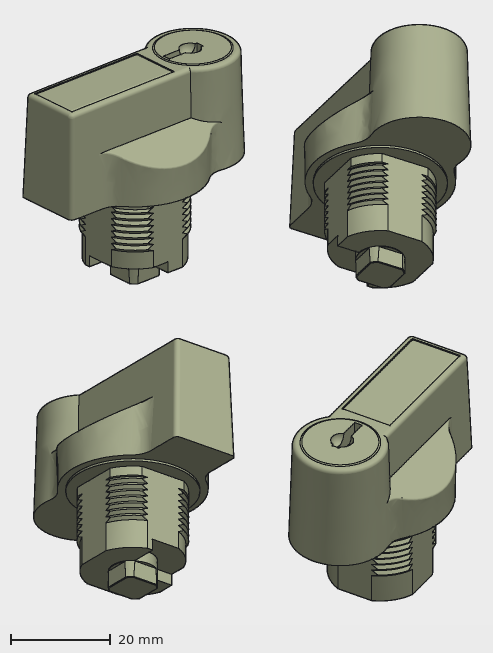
import cadquery as cq
import math

HANDLE_HEIGHT = 23.05
DRAFT_ANGLE = 1.8
EDGE_RADIUS = 1.0

TOWER_RADIUS = 10.4
TOWER_Y = 15.55

BAR_HALF_WIDTH = 7.6
BAR_FRONT_Y = -23.95
CORNER_ZONE_DEPTH = 1.5
SELECTION_MARGIN = 0.5

WING_RADIUS = 15.1
WING_FLARE_ANGLE = 1.0
WING_RIDGE_HEIGHT = 16.45
WING_SLOPE = 30.0
WING_BLEND_RADIUS = 5.0
WING_RIM_RADIUS = 0.5
WING_BLANK_HEIGHT = 13.45
WING_CORE_HEIGHT = 13.95
WING_CORE_FRONT_Y = -20.95
ROOF_OVERHANG = 2.5

LOCK_RADIUS = 8.1
LOCK_DEPTH = 5.0
LOCK_RISE = 0.15
LOCK_BEVEL_WIDTH = 0.35
KEY_SLOT_WIDTH = 1.75
KEY_SLOT_LENGTH = 9.0
KEY_SLOT_Y = 12.95
KEY_SLOT_DEPTH = 4.0
DIMPLE_RADIUS = 2.3
DIMPLE_DEPTH = 2.05
DIMPLE_Y = 14.85

LABEL_WIDTH = 11.2
LABEL_FRONT_Y = -22.0
LABEL_BACK_Y = 5.55
LABEL_THICKNESS = 1.0
LABEL_CORNER_RADIUS = 0.55
LABEL_TOP_RADIUS = LABEL_CORNER_RADIUS - 0.005

FLANGE_RADIUS = 13.45
FLANGE_THICKNESS = 0.5
COLLAR_BOTTOM = -2.55
THREAD_BOTTOM = -12.3
BUSHING_BOTTOM = -18.5
CREST_RADIUS = 11.25
ROOT_RADIUS = 10.65
THREAD_COUNT = 7
FLAT_DISTANCE = 9.9
NOTCH_HEIGHT = 2.45
NOTCH_LEFT_X = -2.65

HUB_RADIUS = 4.95
HUB_PROTRUSION = 0.15
HUB_BOTTOM = BUSHING_BOTTOM - HUB_PROTRUSION
HUB_TOP = -13.45
SPINDLE_BOTTOM = -22.3
SQUARE_WIDTH = 8.3
SQUARE_DRAFT = 2.0
SQUARE_BEVEL = 0.15


def tapered_tower(height):
    tower = cq.Workplane("XY").center(0, TOWER_Y).circle(TOWER_RADIUS)
    return tower.extrude(height, taper=DRAFT_ANGLE)


def tapered_bar(height, front_y):
    """Bar with leaning walls; its rear end stands inside the tower."""
    length = TOWER_Y - front_y
    bar = cq.Workplane("XY").center(0, front_y + length / 2).rect(2 * BAR_HALF_WIDTH, length)
    return bar.extrude(height, taper=DRAFT_ANGLE)


def make_grip():
    """Bar and tower as one shape with rounded front corners and top edges."""
    corner_reach = BAR_HALF_WIDTH + SELECTION_MARGIN
    front_corners = cq.selectors.BoxSelector(
        (-corner_reach, BAR_FRONT_Y - SELECTION_MARGIN, SELECTION_MARGIN),
        (corner_reach, BAR_FRONT_Y + CORNER_ZONE_DEPTH, HANDLE_HEIGHT - SELECTION_MARGIN),
    )
    bar = tapered_bar(HANDLE_HEIGHT, BAR_FRONT_Y).edges(front_corners).fillet(EDGE_RADIUS)
    grip = tapered_tower(HANDLE_HEIGHT).union(bar)
    return grip.faces(">Z").edges().fillet(EDGE_RADIUS)


def make_wing_roof():
    """House-shaped prism along Y whose two slopes form the wing tops."""
    half_width = WING_RADIUS + ROOF_OVERHANG
    eaves_height = WING_RIDGE_HEIGHT - half_width * math.tan(math.radians(WING_SLOPE))
    outline = [
        (-half_width, 0),
        (half_width, 0),
        (half_width, eaves_height),
        (0, WING_RIDGE_HEIGHT),
        (-half_width, eaves_height),
    ]
    return cq.Workplane("XZ").polyline(outline).close().extrude(2 * WING_RADIUS, both=True)


def make_wings():
    """Flared disc blended into the grip walls, then trimmed to two sloped tops."""
    core = tapered_tower(WING_CORE_HEIGHT).union(tapered_bar(WING_CORE_HEIGHT, WING_CORE_FRONT_Y))
    disc = cq.Workplane("XY").circle(WING_RADIUS)
    disc = disc.extrude(WING_BLANK_HEIGHT, taper=-WING_FLARE_ANGLE)
    mid_height = WING_BLANK_HEIGHT / 2
    blend_edges = cq.selectors.BoxSelector(
        (-WING_RADIUS, -WING_RADIUS, mid_height - SELECTION_MARGIN),
        (WING_RADIUS, WING_RADIUS, mid_height + SELECTION_MARGIN),
    )
    blank = core.union(disc).edges(blend_edges).fillet(WING_BLEND_RADIUS)
    rim_edges = cq.selectors.BoxSelector(
        (-WING_RADIUS, -WING_BLEND_RADIUS, mid_height),
        (WING_RADIUS, WING_BLEND_RADIUS, 1.5 * mid_height),
    )
    return blank.intersect(make_wing_roof()).edges(rim_edges).fillet(WING_RIM_RADIUS)


def make_plug_blank():
    plug = cq.Workplane("XY", origin=(0, TOWER_Y, HANDLE_HEIGHT - LOCK_DEPTH))
    return plug.circle(LOCK_RADIUS).extrude(LOCK_DEPTH + LOCK_RISE)


def make_label_blank():
    length = LABEL_BACK_Y - LABEL_FRONT_Y
    plate = cq.Workplane("XY", origin=(0, LABEL_FRONT_Y + length / 2, HANDLE_HEIGHT - LABEL_THICKNESS))
    return plate.rect(LABEL_WIDTH, length).extrude(LABEL_THICKNESS)


def make_handle():
    handle = make_grip().union(make_wings())
    return handle.cut(make_plug_blank()).cut(make_label_blank())


def make_lock_plug():
    """Bevelled plug with a key slot and a flat-bottomed round dimple."""
    plug = make_plug_blank().faces(">Z").edges().chamfer(LOCK_RISE, LOCK_BEVEL_WIDTH)
    top = HANDLE_HEIGHT + LOCK_RISE
    slot = (
        cq.Workplane("XY", origin=(0, KEY_SLOT_Y, top - KEY_SLOT_DEPTH))
        .rect(KEY_SLOT_WIDTH, KEY_SLOT_LENGTH)
        .extrude(KEY_SLOT_DEPTH)
    )
    ball = cq.Workplane("XY", origin=(0, DIMPLE_Y, top)).sphere(DIMPLE_RADIUS)
    bowl_limit = (
        cq.Workplane("XY", origin=(0, DIMPLE_Y, top - DIMPLE_DEPTH))
        .circle(DIMPLE_RADIUS)
        .extrude(DIMPLE_DEPTH)
    )
    return plug.cut(slot).cut(ball.intersect(bowl_limit))


def make_label():
    label = make_label_blank().edges("|Z").fillet(LABEL_CORNER_RADIUS)
    return label.faces(">Z").edges().fillet(LABEL_TOP_RADIUS)


def make_stem_profile():
    """Radial outline of collar, V-ridged thread and plain end."""
    pitch = (COLLAR_BOTTOM - THREAD_BOTTOM) / THREAD_COUNT
    points = [
        (0, 0),
        (CREST_RADIUS, 0),
        (CREST_RADIUS, COLLAR_BOTTOM),
        (ROOT_RADIUS, COLLAR_BOTTOM),
    ]
    for ridge in range(THREAD_COUNT):
        ridge_top = COLLAR_BOTTOM - ridge * pitch
        points.append((CREST_RADIUS, ridge_top - pitch / 2))
        points.append((ROOT_RADIUS, ridge_top - pitch))
    points += [(ROOT_RADIUS, BUSHING_BOTTOM), (0, BUSHING_BOTTOM)]
    return points


def make_hub():
    hub = cq.Workplane("XY", origin=(0, 0, HUB_BOTTOM))
    return hub.circle(HUB_RADIUS).extrude(HUB_TOP - HUB_BOTTOM)


def make_bushing():
    """Flanged, threaded stem with four flats, a corner notch and a bore for the hub."""
    stem = cq.Workplane("XZ").polyline(make_stem_profile()).close().revolve(360, (0, 0), (0, 1))
    flats = cq.Workplane("XY").rect(2 * FLAT_DISTANCE, 2 * FLAT_DISTANCE).extrude(BUSHING_BOTTOM)
    flange = cq.Workplane("XY").circle(FLANGE_RADIUS).extrude(-FLANGE_THICKNESS)
    notch = (
        cq.Workplane("XY", origin=(NOTCH_LEFT_X, 0, BUSHING_BOTTOM))
        .rect(CREST_RADIUS - NOTCH_LEFT_X, -CREST_RADIUS, centered=False)
        .extrude(NOTCH_HEIGHT)
    )
    return stem.intersect(flats).union(flange).cut(notch).cut(make_hub())


def make_spindle():
    """Round hub carrying a tapered square end whose corners follow the hub's cylinder."""
    length = HUB_BOTTOM - SPINDLE_BOTTOM
    square = (
        cq.Workplane("XY", origin=(0, 0, HUB_BOTTOM))
        .rect(SQUARE_WIDTH, SQUARE_WIDTH)
        .extrude(-length, taper=SQUARE_DRAFT)
    )
    rounding = cq.Workplane("XY", origin=(0, 0, HUB_BOTTOM)).circle(HUB_RADIUS).extrude(-length)
    tip = square.intersect(rounding).faces("<Z").edges().chamfer(SQUARE_BEVEL)
    return make_hub().union(tip)


handle = make_handle()
lock_plug = make_lock_plug()
label = make_label()
bushing = make_bushing()
spindle = make_spindle()

result = cq.Compound.makeCompound(
    [handle.val(), lock_plug.val(), label.val(), bushing.val(), spindle.val()]
)